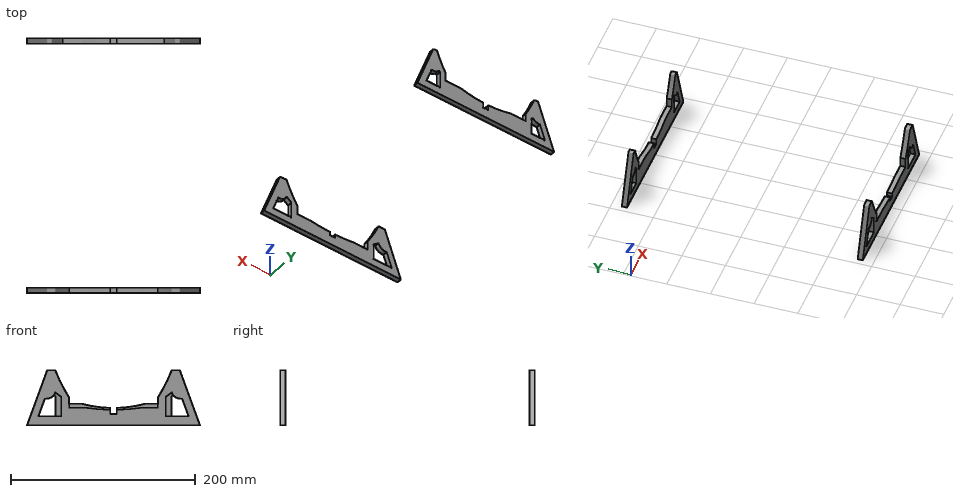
import cadquery as cq
import math


BASE_WIDTH = 187.48
HEIGHT = 59.9
OVERALL_DEPTH = 276.0
THICKNESS = 6.0
SIDE_LEAN = 21.9
TIP_RADIUS = 1.5
FLANK_RADIUS = 180.0
NOTCH_WIDTH = 7.0
NOTCH_FLOOR = 12.4

WINDOW_FLOOR = 10.0
WINDOW_FLOOR_CORNER_X = 81.1
BOSS_X = 72.5
BOSS_RADIUS = 10.0
WINDOW_TOP = 28.8
WINDOW_SLOPE = 0.75

HALF_BASE = BASE_WIDTH / 2
HALF_NOTCH = NOTCH_WIDTH / 2
OUTER_TIP_X = HALF_BASE - SIDE_LEAN
BOSS_Z = WINDOW_TOP + BOSS_RADIUS


def flank_midpoint(tip_x, wall_x, wall_top):
    """Middle point of the flank arc, sagging from its chord into the tower."""
    run = tip_x - wall_x
    rise = HEIGHT - wall_top
    chord = math.hypot(run, rise)
    sag = FLANK_RADIUS - math.sqrt(FLANK_RADIUS**2 - (chord / 2)**2)
    mid_x = (tip_x + wall_x) / 2 + sag * rise / chord
    mid_z = (HEIGHT + wall_top) / 2 - sag * run / chord
    return mid_x, mid_z


def plate_half(tip_x, wall_x, wall_top, seat_z, seat_edge_x, seat_low):
    """The +X half of a plate, without its window, extruded towards -Y from Y = 0."""
    seat_rise = seat_z - seat_low
    seat_radius = (seat_edge_x**2 + seat_rise**2) / (2 * seat_rise)

    def seat_point(x):
        return x, seat_low + seat_radius - math.sqrt(seat_radius**2 - x**2)

    half = (
        cq.Workplane("XZ")
        .moveTo(0, 0)
        .lineTo(HALF_BASE, 0)
        .lineTo(OUTER_TIP_X, HEIGHT)
        .lineTo(tip_x, HEIGHT)
        .threePointArc(flank_midpoint(tip_x, wall_x, wall_top), (wall_x, wall_top))
        .lineTo(wall_x, seat_z)
        .lineTo(seat_edge_x, seat_z)
        .threePointArc(seat_point((seat_edge_x + HALF_NOTCH) / 2), seat_point(HALF_NOTCH))
        .lineTo(HALF_NOTCH, NOTCH_FLOOR)
        .lineTo(0, NOTCH_FLOOR)
        .close()
        .extrude(THICKNESS)
    )
    return half.faces(">Z").edges("|Y").fillet(TIP_RADIUS)


def window_cutter(inner_x, peak_x):
    """Window of the +X tower: leaning outer side, bulged top and upright inner wall."""
    side_slope = SIDE_LEAN / HEIGHT
    top_corner_x = WINDOW_FLOOR_CORNER_X - side_slope * (WINDOW_TOP - WINDOW_FLOOR)
    peak_z = BOSS_Z - math.sqrt(BOSS_RADIUS**2 - (BOSS_X - peak_x)**2)
    arc_mid_x = (BOSS_X + peak_x) / 2
    arc_mid_z = BOSS_Z - math.sqrt(BOSS_RADIUS**2 - (BOSS_X - arc_mid_x)**2)
    return (
        cq.Workplane("XZ")
        .moveTo(inner_x, WINDOW_FLOOR)
        .lineTo(WINDOW_FLOOR_CORNER_X, WINDOW_FLOOR)
        .lineTo(top_corner_x, WINDOW_TOP)
        .lineTo(BOSS_X, WINDOW_TOP)
        .threePointArc((arc_mid_x, arc_mid_z), (peak_x, peak_z))
        .lineTo(inner_x, peak_z - WINDOW_SLOPE * (peak_x - inner_x))
        .close()
        .extrude(THICKNESS)
    )


def cradle_plate(half, window, back_y):
    """Whole plate with its back face at back_y, mirrored from the +X half."""
    half = half.cut(window)
    return half.union(half.mirror("YZ")).clean().translate((0, back_y, 0))


front_plate = cradle_plate(
    plate_half(tip_x=63.0, wall_x=48.0, wall_top=30.3, seat_z=18.9, seat_edge_x=28.5, seat_low=16.9),
    window_cutter(inner_x=56.5, peak_x=63.0),
    back_y=THICKNESS,
)
rear_plate = cradle_plate(
    plate_half(tip_x=66.7, wall_x=55.0, wall_top=34.2, seat_z=23.5, seat_edge_x=34.1, seat_low=19.0),
    window_cutter(inner_x=62.8, peak_x=64.6),
    back_y=OVERALL_DEPTH,
)

result = cq.Compound.makeCompound([front_plate.val(), rear_plate.val()])